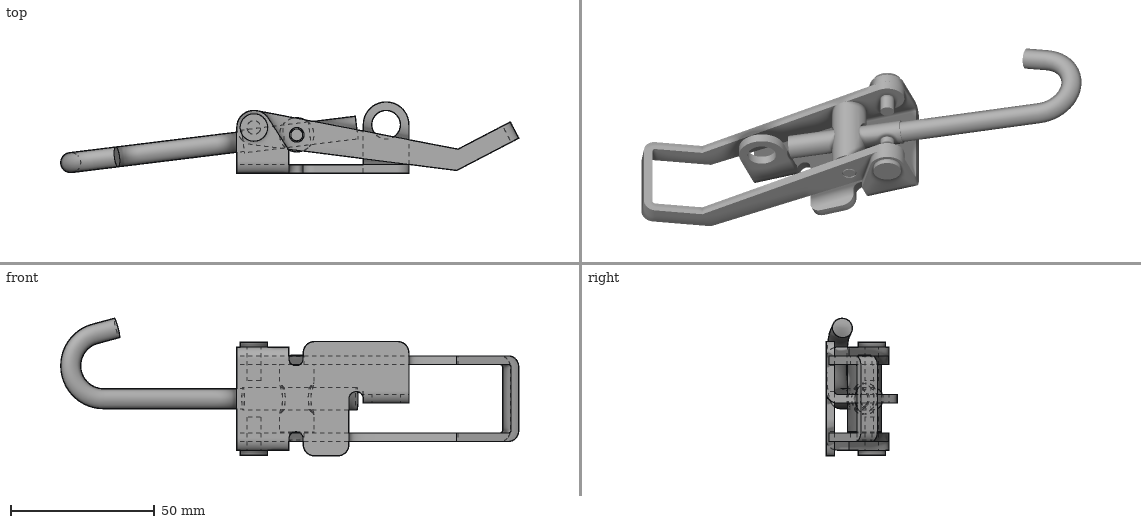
import cadquery as cq
import math


overall_length = 159.9

sheet = 3.0
bend_radius = 4.0
inner_bend_radius = bend_radius - sheet

channel_width = 36.0
channel_length = 18.2
flange_corner_y = 8.0
notch_width = 5.0
lug_width = 40.0
lug_corner_radius = 4.0
short_lug_length = 16.0
tab_length = 16.0
eye_y = 17.0
eye_radius = tab_length / 2
eye_hole_radius = 5.0

channel_half = channel_width / 2
lug_half = lug_width / 2
bend_line_z = channel_half - bend_radius
notch_radius = notch_width / 2
notch_x = channel_length + notch_radius
lug_start_x = channel_length + notch_width
short_lug_end_x = lug_start_x + short_lug_length
tab_start_x = short_lug_end_x + notch_width
lug_end_x = tab_start_x + tab_length
tab_bend_z = bend_radius - sheet / 2

pivot_boss_radius = 12.0 / 2
pivot_x = pivot_boss_radius
pivot_y = 16.0
rivet_head_radius = 4.8
rivet_head_height = 1.8
rivet_shank_radius = 2.4
rivet_end_z = 6.4

lever_half = channel_half - sheet
arm_inner_z = lever_half - sheet
elbow_top = (77.2, 8.5)
elbow_bottom = (76.7, 1.0)
handle_angle = 27.5

barrel_x = 21.0
barrel_y = 13.5
barrel_radius = 12.0 / 2
barrel_play = 0.3
barrel_pin_radius = 2.5
barrel_pin_chamfer = 0.5
countersink_radius = 5.5

rod_tilt = math.radians(7.0)
rod_radius = 3.5
thread_radius = 4.0
thread_length = 40.0
thread_reach = 21.1
hook_reach = 68.0
hook_radius = 11.5
hook_sweep = 165.0
hook_tip_length = 8.0
hook_end_x = barrel_x - (hook_reach + hook_radius) * math.cos(rod_tilt) - rod_radius

handle_end_x = hook_end_x + overall_length


def box_between(x_range, y_range, z_range):
    """Box spanning the given coordinate ranges."""
    lows = [x_range[0], y_range[0], z_range[0]]
    sizes = [x_range[1] - x_range[0], y_range[1] - y_range[0], z_range[1] - z_range[0]]
    return cq.Workplane("XY").box(*sizes, centered=False).translate(tuple(lows))


def z_cylinder(x, y, radius, z_low, z_high):
    """Cylinder parallel to Z."""
    return cq.Workplane("XY", origin=(x, y, z_low)).circle(radius).extrude(z_high - z_low)


def boss_tangent_point(point, side):
    """Where a line from the point touches the pivot boss; side is +1 or -1."""
    dx = point[0] - pivot_x
    dy = point[1] - pivot_y
    direction = math.atan2(dy, dx) + side * math.acos(pivot_boss_radius / math.hypot(dx, dy))
    return (
        pivot_x + pivot_boss_radius * math.cos(direction),
        pivot_y + pivot_boss_radius * math.sin(direction),
    )


def make_channel():
    """U-shaped channel with rounded bends and shaped flanges."""
    flange_top = pivot_y + pivot_boss_radius
    channel = box_between((0, channel_length), (0, flange_top), (-channel_half, channel_half))
    channel = channel.edges("|X and <Y").fillet(bend_radius)
    hollow = box_between((0, channel_length), (sheet, flange_top), (-lever_half, lever_half))
    channel = channel.cut(hollow.edges("|X and <Y").fillet(inner_bend_radius))

    slope_start = (channel_length, flange_corner_y)
    side_profile = (
        cq.Workplane("XY", origin=(0, 0, -channel_half))
        .lineTo(channel_length, 0)
        .lineTo(*slope_start)
        .lineTo(*boss_tangent_point(slope_start, 1))
        .threePointArc((pivot_x, flange_top), (pivot_x - pivot_boss_radius, pivot_y))
        .close()
        .extrude(channel_width)
    )
    return channel.intersect(side_profile)


def make_mounting_plate():
    """Flat lugs and web behind the channel, with the relief notches."""
    relief_z = tab_bend_z - notch_radius
    relief_x = short_lug_end_x + notch_radius
    outline = [
        (lug_start_x, -lug_half),
        (short_lug_end_x, -lug_half),
        (short_lug_end_x, relief_z),
        (tab_start_x, relief_z),
        (tab_start_x, tab_bend_z),
        (lug_end_x, tab_bend_z),
        (lug_end_x, lug_half),
        (lug_start_x, lug_half),
    ]
    lugs = cq.Workplane("XZ").polyline(outline).close().extrude(-sheet)
    lugs = lugs.edges("|Y and (<X or <Z or >Z)").fillet(lug_corner_radius)
    web = box_between((0, lug_start_x), (0, sheet), (-bend_line_z, bend_line_z))
    notch_centers = [(notch_x, bend_line_z), (notch_x, -bend_line_z), (relief_x, relief_z)]
    notches = cq.Workplane("XZ").pushPoints(notch_centers).circle(notch_radius).extrude(-sheet)
    return lugs.union(web).cut(notches)


def make_tab():
    """Padlock tab and the bend that joins it to the mounting plate."""
    eye_x = tab_start_x + eye_radius
    bend = (
        cq.Workplane("YZ", origin=(tab_start_x, bend_radius, tab_bend_z))
        .circle(bend_radius)
        .circle(inner_bend_radius)
        .extrude(tab_length)
    )
    bend = bend.intersect(
        box_between((tab_start_x, lug_end_x), (0, bend_radius), (tab_bend_z - bend_radius, tab_bend_z))
    )
    upright = box_between((tab_start_x, lug_end_x), (bend_radius, eye_y), (-sheet / 2, sheet / 2))
    upright = upright.union(z_cylinder(eye_x, eye_y, eye_radius, -sheet / 2, sheet / 2))
    upright = upright.cut(z_cylinder(eye_x, eye_y, eye_hole_radius, -sheet / 2, sheet / 2))
    return bend.union(upright)


def make_bracket():
    """Channel, mounting plate and padlock tab, with holes for the rivets."""
    rivet_holes = z_cylinder(pivot_x, pivot_y, rivet_shank_radius, -channel_half, channel_half)
    return make_channel().union(make_mounting_plate()).union(make_tab()).cut(rivet_holes)


def make_lever():
    """Two tapered arms joined by a bar across the end of the bent-up handle."""
    along = (math.cos(math.radians(handle_angle)), math.sin(math.radians(handle_angle)))
    across = (-along[1], along[0])
    lower_length = (handle_end_x - elbow_bottom[0]) / along[0]
    end_bottom = (handle_end_x, elbow_bottom[1] + lower_length * along[1])
    elbow_offset = (elbow_top[0] - elbow_bottom[0], elbow_top[1] - elbow_bottom[1])
    handle_width = elbow_offset[0] * across[0] + elbow_offset[1] * across[1]
    end_top = (end_bottom[0] + handle_width * across[0], end_bottom[1] + handle_width * across[1])

    blank = (
        cq.Workplane("XY", origin=(0, 0, -lever_half))
        .moveTo(*boss_tangent_point(elbow_bottom, -1))
        .lineTo(*elbow_bottom)
        .lineTo(*end_bottom)
        .lineTo(*end_top)
        .lineTo(*elbow_top)
        .lineTo(*boss_tangent_point(elbow_top, 1))
        .threePointArc((pivot_x - pivot_boss_radius, pivot_y), boss_tangent_point(elbow_bottom, -1))
        .close()
        .extrude(2 * lever_half)
    )
    end_corners = cq.selectors.ParallelDirSelector(cq.Vector(*across, 0))
    blank = blank.edges(end_corners).fillet(bend_radius)

    inner_end = cq.Plane(
        origin=(end_bottom[0] - sheet * along[0], end_bottom[1] - sheet * along[1], 0),
        xDir=(*along, 0),
        normal=(0, 0, 1),
    )
    space_size = 2 * handle_end_x
    space = cq.Workplane(inner_end).box(
        space_size, space_size, 2 * arm_inner_z, centered=(False, True, True)
    )
    space = space.translate((-space_size * along[0], -space_size * along[1], 0))
    space = space.edges(end_corners).fillet(inner_bend_radius)

    rivet_holes = z_cylinder(pivot_x, pivot_y, rivet_shank_radius, -lever_half, lever_half)
    pin_holes = z_cylinder(barrel_x, barrel_y, barrel_pin_radius, -lever_half, lever_half)
    return blank.cut(space).cut(rivet_holes).cut(pin_holes)


def make_rivet(side):
    """Pivot rivet through one flange and one lever arm; side is +1 or -1 along Z."""
    rivet = z_cylinder(pivot_x, pivot_y, rivet_shank_radius, rivet_end_z, channel_half)
    head_top = channel_half + rivet_head_height
    rivet = rivet.union(z_cylinder(pivot_x, pivot_y, rivet_head_radius, channel_half, head_top))
    return rivet if side > 0 else rivet.mirror("XY")


def rod_section(distance):
    """Workplane square to the rod, at a distance along it from the barrel axis."""
    direction = cq.Vector(math.cos(rod_tilt), math.sin(rod_tilt), 0)
    center = cq.Vector(barrel_x, barrel_y, 0) + direction * distance
    return cq.Workplane(cq.Plane(origin=center, xDir=(0, 0, 1), normal=direction))


def make_barrel():
    """Cross barrel with a pin at each end and a countersunk hole for the rod."""
    body_low = barrel_play - arm_inner_z
    barrel = z_cylinder(barrel_x, barrel_y, barrel_radius, body_low, arm_inner_z)
    pins = z_cylinder(barrel_x, barrel_y, barrel_pin_radius, -lever_half, lever_half + barrel_play)
    barrel = barrel.union(pins.faces("<Z or >Z").chamfer(barrel_pin_chamfer))

    countersink_depth = countersink_radius - thread_radius
    barrel = barrel.cut(rod_section(-barrel_radius).circle(thread_radius).extrude(2 * barrel_radius))
    for side in (-1, 1):
        countersink = (
            rod_section(side * barrel_radius)
            .circle(countersink_radius)
            .workplane(offset=-side * countersink_depth)
            .circle(thread_radius)
            .loft()
        )
        barrel = barrel.cut(countersink)
    return barrel


def make_hook_rod():
    """Rod with a thicker threaded end and a hook bent in the plane of the rod and Z."""
    thread_start = thread_reach - thread_length
    thread = rod_section(thread_start).circle(thread_radius).extrude(thread_length)

    hook_plane = cq.Plane(
        origin=(barrel_x, barrel_y, 0),
        xDir=(math.cos(rod_tilt), math.sin(rod_tilt), 0),
        normal=(math.sin(rod_tilt), -math.cos(rod_tilt), 0),
    )

    def hook_point(sweep):
        """Point on the hook's centre arc, in degrees from where the straight rod ends."""
        angle = math.radians(sweep)
        return (
            -hook_reach - hook_radius * math.sin(angle),
            hook_radius * (1 - math.cos(angle)),
        )

    tip_rise = math.radians(180 - hook_sweep)
    bend_end = hook_point(hook_sweep)
    tip = (
        bend_end[0] + hook_tip_length * math.cos(tip_rise),
        bend_end[1] + hook_tip_length * math.sin(tip_rise),
    )
    path = (
        cq.Workplane(hook_plane)
        .moveTo(thread_start, 0)
        .lineTo(-hook_reach, 0)
        .threePointArc(hook_point(hook_sweep / 2), bend_end)
        .lineTo(*tip)
    )
    return thread.union(rod_section(thread_start).circle(rod_radius).sweep(path))


bracket = make_bracket()
lever = make_lever()
barrel = make_barrel()
hook_rod = make_hook_rod()
rivets = [make_rivet(side) for side in (1, -1)]

bodies = [bracket, lever, barrel, hook_rod, *rivets]
result = cq.Compound.makeCompound([body.solids().val() for body in bodies])